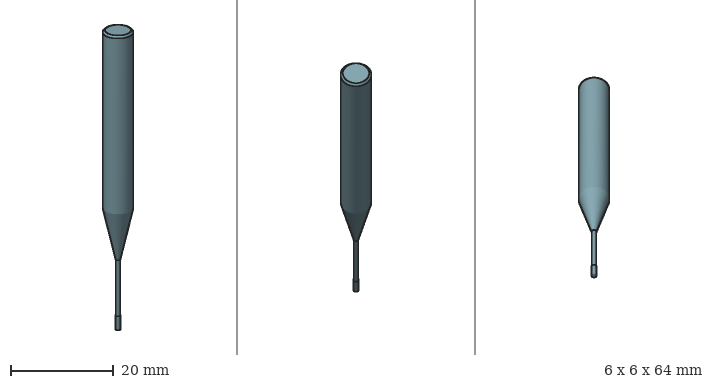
import cadquery as cq

total_length = 64.0
cutter_length = 3.0
neck_top = 15.0
cone_top = 26.0

shank_diameter = 6.0
cutter_diameter = 1.0
neck_diameter = 0.95
corner_radius = 0.095
shank_chamfer = 0.45

shank_radius = shank_diameter / 2
neck_radius = neck_diameter / 2


def make_cutter():
    """Cylindrical cutting head with a rounded corner at the tip."""
    cutter = cq.Workplane("XY").circle(cutter_diameter / 2).extrude(cutter_length)
    return cutter.faces("<Z").edges().fillet(corner_radius)


def make_neck():
    """Slim cylinder between the cutting head and the shank."""
    return (
        cq.Workplane("XY")
        .workplane(offset=cutter_length)
        .circle(neck_radius)
        .extrude(neck_top - cutter_length)
    )


def make_shank():
    """Clamping shank: a cone down to the neck and a chamfered rear end."""
    half_profile = (
        cq.Workplane("XZ")
        .moveTo(0, neck_top)
        .lineTo(neck_radius, neck_top)
        .lineTo(shank_radius, cone_top)
        .lineTo(shank_radius, total_length)
        .lineTo(0, total_length)
        .close()
    )
    shank = half_profile.revolve(360, (0, 0, 0), (0, 1, 0))
    return shank.faces(">Z").edges().chamfer(shank_chamfer)


cutter = make_cutter()
neck = make_neck()
shank = make_shank()

result = cq.Compound.makeCompound([cutter.val(), neck.val(), shank.val()])